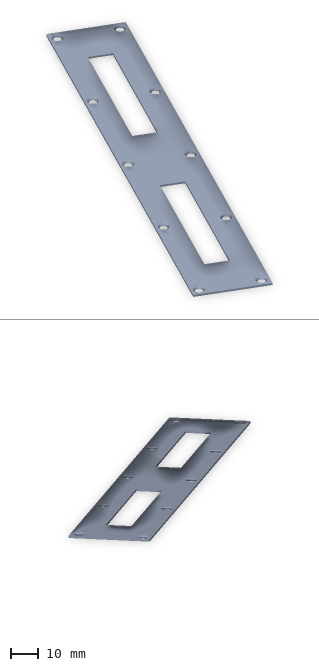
import cadquery as cq

length = 190.0
width = 30.0
thickness = 0.8

row_count = 2
holes_per_row = 5
hole_pitch = 45.75
row_spacing = 23.6
hole_top_diameter = 4.6
hole_bottom_diameter = 3.0

window_count = 2
window_length = 57.5
window_width = 9.5
window_pitch = 93.3
window_offset_y = -0.3


def make_plate():
    """Flat plate centred on the origin in X and Y, with its underside at Z = 0."""
    return cq.Workplane("XY").box(length, width, thickness, centered=(True, True, False))


def cut_windows(plate):
    """Cut the rectangular windows through the plate."""
    return (
        plate.faces(">Z")
        .workplane(origin=(0, window_offset_y, thickness))
        .rarray(window_pitch, window_width, window_count, 1)
        .rect(window_length, window_width)
        .cutThruAll()
    )


def make_screw_cone():
    """Cone that is widest at the top face and narrowest at the underside."""
    bottom_radius = hole_bottom_diameter / 2
    top_radius = hole_top_diameter / 2
    return cq.Solid.makeCone(bottom_radius, top_radius, thickness)


def cut_screw_holes(plate):
    """Cut the countersunk screw holes in every row."""
    cone = make_screw_cone()
    cones = (
        cq.Workplane("XY")
        .rarray(hole_pitch, row_spacing, holes_per_row, row_count)
        .eachpoint(lambda place: cone.moved(place))
    )
    return plate.cut(cones)


result = cut_screw_holes(cut_windows(make_plate()))